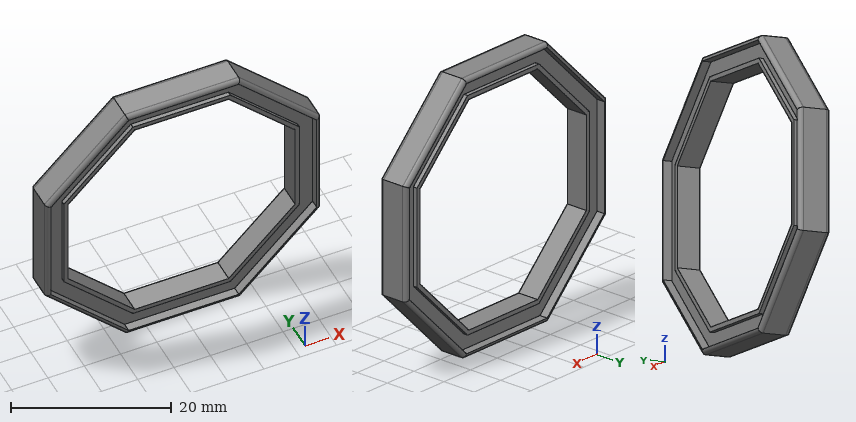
import cadquery as cq
import math

SIDES = 8
across_flats = 37.8
thickness = 4.4
edge_radius = 0.6
lip_outer_offset = 2.7
lip_width = 0.6
lip_recess = 0.6
channel_depth = 1.2

front_y = -thickness / 2
channel_flats = across_flats - 2 * edge_radius
lip_flats = across_flats - 2 * lip_outer_offset
opening_flats = lip_flats - 2 * lip_width


def octagon_prism(flats, start_y, length):
    """Octagonal prism with flats on X and Z, extending toward +Y from start_y."""
    corner_diameter = flats / math.cos(math.pi / SIDES)
    return (
        cq.Workplane("XZ", origin=(0, start_y, 0))
        .transformed(rotate=(0, 0, 180 / SIDES))
        .polygon(SIDES, corner_diameter)
        .extrude(-length)
    )


body = octagon_prism(across_flats, front_y, thickness)
body = body.faces("<Y or >Y").edges().fillet(edge_radius)

opening = octagon_prism(opening_flats, front_y, thickness)

channel = octagon_prism(channel_flats, front_y, channel_depth)
lip = octagon_prism(lip_flats, front_y + lip_recess, channel_depth - lip_recess)
front_recess = channel.cut(lip)

back_recess = front_recess.mirror("XZ")

result = body.cut(opening).cut(front_recess).cut(back_recess)